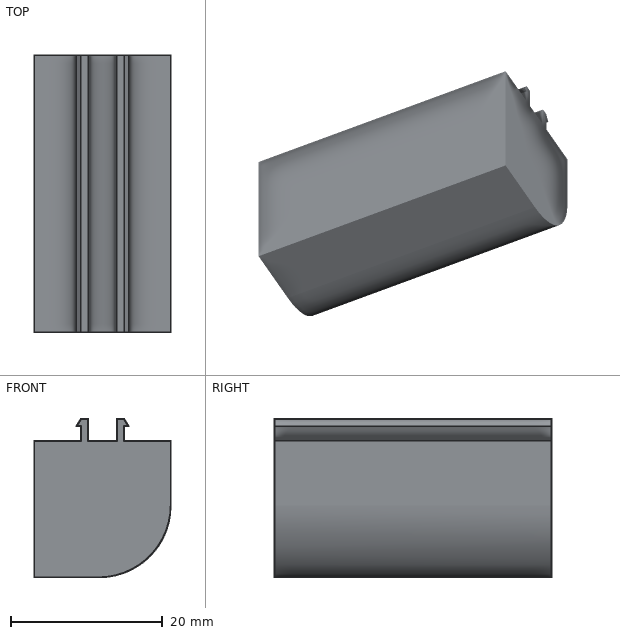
import cadquery as cq

length = 36.5
block_side = 18.0
corner_radius = 9.5

rail_height = 2.9
rail_gap = 3.8
rail_thickness = 0.95
barb_overhang = 0.6
barb_height = 0.95


def make_block():
    """Square bar, centred on X and Y, with its lower +X edge rounded."""
    block = cq.Workplane("XY").box(block_side, length, block_side, centered=(True, True, False))
    return block.edges("|Y and >X and <Z").fillet(corner_radius)


def make_rail(side):
    """Full-length rail with an outward barb; side is +1 or -1 along X."""
    inner = rail_gap / 2
    outer = inner + rail_thickness
    top = block_side + rail_height
    barb_bottom = top - barb_height
    profile = [
        (inner, block_side),
        (outer, block_side),
        (outer, barb_bottom),
        (outer + barb_overhang, barb_bottom),
        (outer, top),
        (inner, top),
    ]
    points = [(side * x, z) for x, z in profile]
    return cq.Workplane("XZ").polyline(points).close().extrude(length / 2, both=True)


result = make_block()
for side in (-1, 1):
    result = result.union(make_rail(side))